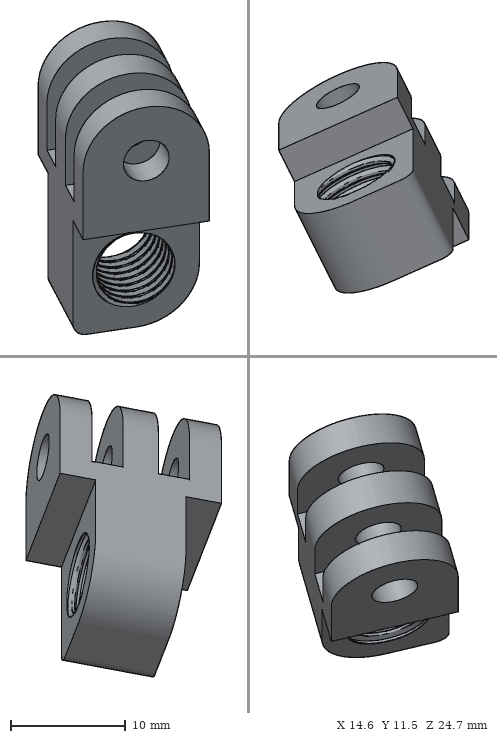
import cadquery as cq
import math

depth = 11.48
height = 24.65

outer_finger = 2.9
middle_finger = 3.2
slot_width = 2.8
clevis_width = 2 * outer_finger + 2 * slot_width + middle_finger
clevis_bottom = 11.93
slot_floor = 14.1
crown_radius = 5.7
pivot_height = 19.12
pivot_diameter = 4.15

block_width = 8.18
block_back_radius = 5.7
block_front_radius = 1.23
bore_height = 5.91
minor_radius = 3.52
major_radius = 3.97
thread_pitch = 1.0
spiral_points = 8


def make_clevis():
    """Round-topped upper body divided into three fingers."""
    body_height = height - clevis_bottom
    body = (
        cq.Workplane("XY", origin=(0, 0, clevis_bottom))
        .box(clevis_width, depth, body_height, centered=(True, True, False))
        .edges("|X and >Z")
        .fillet(crown_radius)
    )
    slot_offset = (middle_finger + slot_width) / 2
    for side in (-1, 1):
        slot = cq.Workplane("XY", origin=(side * slot_offset, 0, slot_floor)).box(
            slot_width, depth, height - slot_floor, centered=(True, True, False)
        )
        body = body.cut(slot)
    return body


def make_block():
    """Lower block with a large rear radius and a small front radius."""
    return (
        cq.Workplane("XY")
        .box(block_width, depth, clevis_bottom, centered=(True, True, False))
        .edges("|X and <Z and >Y")
        .fillet(block_back_radius)
        .edges("|X and <Z and <Y")
        .fillet(block_front_radius)
    )


def make_pivot_bore():
    """Plain hole along X through all three fingers."""
    return (
        cq.Workplane("YZ", origin=(0, 0, pivot_height))
        .circle(pivot_diameter / 2)
        .extrude(clevis_width / 2, both=True)
    )


def bore_point(radius, angle):
    """Point of the thread cross-section, with the angle in degrees from +Y towards +Z."""
    return (
        radius * math.cos(math.radians(angle)),
        radius * math.sin(math.radians(angle)),
    )


def flank(start_radius, end_radius, start_angle):
    """Quarter-turn spiral: a straight thread flank cut square to the axis."""
    points = []
    for step in range(spiral_points + 1):
        fraction = step / spiral_points
        radius = start_radius + fraction * (end_radius - start_radius)
        points.append(bore_point(radius, start_angle + 90 * fraction))
    return points


def make_threaded_bore():
    """Right-hand threaded bore made by twisting its cross-section along X.

    The section has four quarter turns: rising flank, root, falling flank, crest.
    """
    turns = block_width / thread_pitch
    return (
        cq.Workplane("YZ", origin=(-block_width / 2, 0, bore_height))
        .moveTo(*bore_point(minor_radius, 0))
        .spline(flank(minor_radius, major_radius, 0)[1:], includeCurrent=True)
        .threePointArc(bore_point(major_radius, 135), bore_point(major_radius, 180))
        .spline(flank(major_radius, minor_radius, 180)[1:], includeCurrent=True)
        .threePointArc(bore_point(minor_radius, 315), bore_point(minor_radius, 0))
        .close()
        .twistExtrude(block_width, 360 * turns)
    )


result = (
    make_clevis()
    .union(make_block())
    .cut(make_pivot_bore())
    .cut(make_threaded_bore())
)